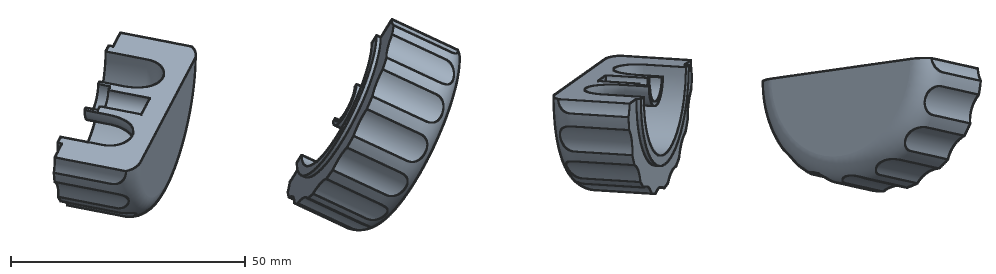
import cadquery as cq
import math


knob_length = 19.0
knob_radius = 24.0
collar_height = 1.0
collar_radius = 18.0
rim_fillet = 5.0

flute_count = 16
flute_depth = 1.0
flute_radius = 7.0
flute_turn = 1.0

cavity_radius = 15.75
cavity_floor_x = 14.45
cavity_floor_radius = 5.0
hub_radius = 5.3
hub_face_x = 2.0
hub_blend_x = 7.5

bore_radius = 3.0
bore_end_x = 14.05
counterbore_radius = 4.35
counterbore_end_x = 4.7


def cylinder(radius, start_x, end_x):
    """Solid cylinder along the X axis."""
    return cq.Workplane("YZ", origin=(start_x, 0, 0)).circle(radius).extrude(end_x - start_x)


def make_body():
    """Round knob with a rounded closed end and a low collar on the open end."""
    body = cylinder(knob_radius, collar_height, knob_length).faces(">X").edges().fillet(rim_fillet)
    return body.union(cylinder(collar_radius, 0, knob_length / 2))


def cut_flutes(body):
    """Cut round flutes along X, evenly spaced about the axis."""
    centre_distance = knob_radius - flute_depth + flute_radius
    pitch = 360 / flute_count
    cutter = cylinder(flute_radius, 0, knob_length).translate((0, -centre_distance, 0))
    for index in range(flute_count):
        angle = flute_turn + index * pitch
        body = body.cut(cutter.rotate((0, 0, 0), (1, 0, 0), angle))
    return body


def make_cavity():
    """Revolved cavity: a round floor arc that joins the hub through a larger tangent arc."""
    arc_x = cavity_floor_x - cavity_floor_radius
    arc_r = cavity_radius - cavity_floor_radius

    run = arc_x - hub_blend_x
    rise = arc_r - hub_radius
    blend_radius = (run**2 + rise**2 - cavity_floor_radius**2) / (2 * (rise - cavity_floor_radius))
    blend_r = hub_radius + blend_radius
    join_angle = math.atan2(arc_r - blend_r, run)
    blend_mid_angle = (join_angle - math.pi / 2) / 2

    def on_blend(angle):
        return (hub_blend_x + blend_radius * math.cos(angle), blend_r + blend_radius * math.sin(angle))

    profile = (
        cq.Workplane("XY")
        .moveTo(0, 0)
        .lineTo(0, cavity_radius)
        .lineTo(arc_x, cavity_radius)
        .threePointArc((cavity_floor_x, arc_r), on_blend(join_angle))
        .threePointArc(on_blend(blend_mid_angle), (hub_blend_x, hub_radius))
        .lineTo(hub_face_x, hub_radius)
        .lineTo(hub_face_x, 0)
        .close()
    )
    return profile.revolve(360, (0, 0, 0), (1, 0, 0))


def make_bore():
    """Blind bore with a wider counterbore at the hub face."""
    bore = cylinder(bore_radius, hub_face_x, bore_end_x)
    return bore.union(cylinder(counterbore_radius, hub_face_x, counterbore_end_x))


def make_lower_half():
    """Box that keeps only the material below Z = 0."""
    width = 2 * knob_radius
    base = cq.Workplane("XY", origin=(0, 0, -knob_radius))
    return base.box(knob_length, width, knob_radius, centered=(False, True, False))


knob = cut_flutes(make_body()).cut(make_cavity()).cut(make_bore())
result = knob.intersect(make_lower_half())